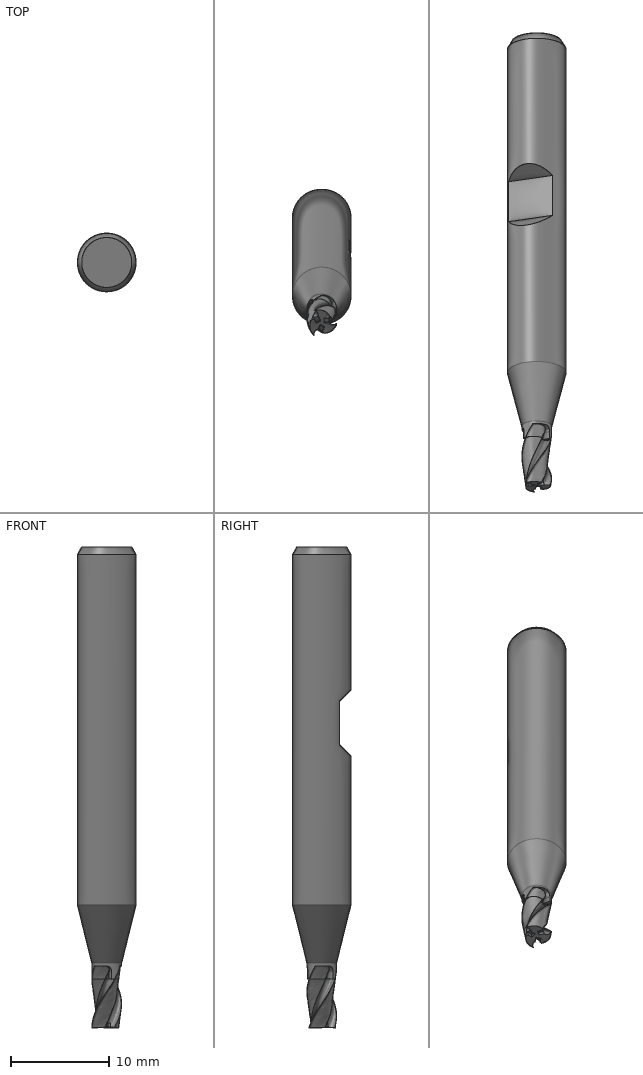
import cadquery as cq
import math

total_length = 49.0
shank_diameter = 6.0
shank_radius = shank_diameter / 2
end_chamfer_height = 0.8
end_chamfer_width = 0.45
taper_top = 12.55
taper_bottom = 6.6

flat_center = 31.05
flat_length = 4.4
flat_depth = 1.2

cutter_diameter = 3.05
cutter_radius = cutter_diameter / 2
cutter_length = 5.0
flute_end = 6.3
flute_count = 3
tooth_pitch = 360 / flute_count
helix_lead = 14.7
first_tooth_angle = 60.0

land_radius = 1.45
land_angle = 5.0
relief_radius = 1.25
relief_angle = 42.0
heel_radius = 1.1
heel_angle = 79.0
core_radius = 0.75
core_angle = 96.0

pocket_angle = 107.0
pocket_corner_radius = 0.6

dish_depth = 0.15
gash_width = 0.5
gash_height = 0.5
gash_inset = 0.25


def polar(radius, degrees):
    angle = math.radians(degrees)
    return (radius * math.cos(angle), radius * math.sin(angle))


def tooth_section(z):
    """Section with the cutting edges turned along the helix to height z."""
    start = first_tooth_angle + 360 * z / helix_lead
    section = cq.Workplane("XY", origin=(0, 0, z)).moveTo(*polar(cutter_radius, start))
    for tooth in range(flute_count):
        edge = start + tooth * tooth_pitch
        section = section.lineTo(*polar(land_radius, edge + land_angle))
        section = section.threePointArc(
            polar(relief_radius, edge + relief_angle),
            polar(heel_radius, edge + heel_angle),
        )
        section = section.threePointArc(
            polar(core_radius, edge + core_angle),
            polar(cutter_radius, edge + tooth_pitch),
        )
    return section.close()


def fluted_bar(z_start, z_end):
    """Right-hand fluted bar between two heights."""
    length = z_end - z_start
    return tooth_section(z_start).twistExtrude(length, 360 * length / helix_lead)


def end_gash(edge_angle):
    """Notch at the foot of the flute, in front of one end cutting edge."""
    notch = cq.Workplane("XY").box(
        cutter_radius, gash_width, gash_height, centered=(False, False, False)
    )
    return notch.translate((gash_inset, -gash_width, 0)).rotate((0, 0, 0), (0, 0, 1), edge_angle)


def pocket_sector(start_angle):
    """Sector of a disc that covers one run-out pocket at the foot of the neck."""
    return (
        cq.Workplane("XY", origin=(0, 0, cutter_length))
        .lineTo(*polar(shank_radius, start_angle))
        .threePointArc(
            polar(shank_radius, start_angle + pocket_angle / 2),
            polar(shank_radius, start_angle + pocket_angle),
        )
        .close()
    )


def runout_pocket(tooth):
    """Pocket with one helical side, one upright side and a rounded upper corner."""
    depth = flute_end - cutter_length
    start_angle = first_tooth_angle + 360 * cutter_length / helix_lead + tooth * tooth_pitch
    upright = pocket_sector(start_angle).extrude(depth)
    corner = (*polar(shank_radius / 2, start_angle + pocket_angle), flute_end)
    upright = upright.edges(cq.NearestToPointSelector(corner)).fillet(pocket_corner_radius)
    helical = pocket_sector(start_angle).twistExtrude(depth, 360 * depth / helix_lead)
    return upright.intersect(helical)


def make_shank():
    shank = (
        cq.Workplane("XZ")
        .moveTo(0, cutter_length)
        .lineTo(cutter_radius, cutter_length)
        .lineTo(cutter_radius, taper_bottom)
        .lineTo(shank_radius, taper_top)
        .lineTo(shank_radius, total_length - end_chamfer_height)
        .lineTo(shank_radius - end_chamfer_width, total_length)
        .lineTo(0, total_length)
        .close()
        .revolve(360, (0, 0), (0, 1))
    )

    half_floor = flat_length / 2
    half_mouth = half_floor + flat_depth
    floor_y = shank_radius - flat_depth
    clamping_flat = (
        cq.Workplane("YZ")
        .moveTo(floor_y, flat_center - half_floor)
        .lineTo(shank_radius, flat_center - half_mouth)
        .lineTo(shank_radius, flat_center + half_mouth)
        .lineTo(floor_y, flat_center + half_floor)
        .close()
        .extrude(shank_radius, both=True)
    )
    shank = shank.cut(clamping_flat)

    neck_core = fluted_bar(cutter_length, flute_end)
    for tooth in range(flute_count):
        shank = shank.cut(runout_pocket(tooth).cut(neck_core))
    return shank


def make_cutter():
    cutter = fluted_bar(0, cutter_length)
    dish = cq.Workplane("XY").add(cq.Solid.makeCone(cutter_radius, 0, dish_depth))
    cutter = cutter.cut(dish)
    for tooth in range(flute_count):
        cutter = cutter.cut(end_gash(first_tooth_angle + tooth * tooth_pitch))
    return cutter


shank = make_shank()
cutter = make_cutter()
result = cq.Compound.makeCompound([shank.val(), cutter.val()])